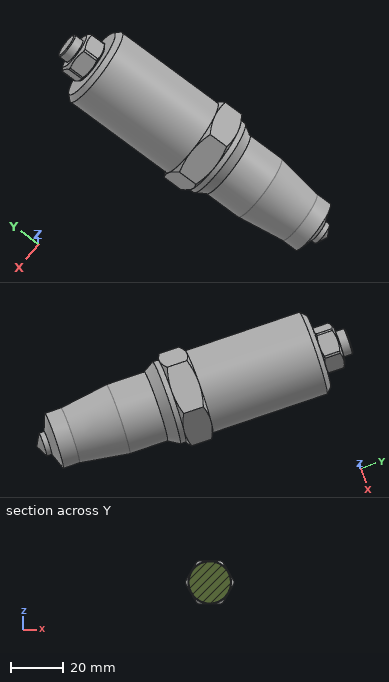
import cadquery as cq
import math

TIP_DIAMETER = 9.36
NOSE_DIAMETER = 22.36
SHANK_DIAMETER = 28.08
BODY_DIAMETER = 33.28
STUD_DIAMETER = 10.4
NECK_DIAMETER = 16.0

FLANGE_ACROSS_FLATS = BODY_DIAMETER
NUT_ACROSS_FLATS = 16.64
NUT_CORNER_DIAMETER = 18.7
NUT_INNER_FACE_DIAMETER = 16.64
NUT_OUTER_FACE_DIAMETER = 14.8
HEX_CHAMFER_ANGLE = 30.0

TIP_CONE_END = 2.55
TIP_CYLINDER_END = 4.6
NOSE_START = 7.05
NOSE_END = 13.6
TAPER_END = 33.0
SHANK_END = 48.3
SHOULDER_END = 52.6
FLANGE_START = 54.8
FLANGE_END = 65.8
BODY_END = 114.25
NUT_START = 114.6
NUT_END = 122.55
OVERALL_LENGTH = 126.6

BODY_CHAMFER_LENGTH = 2.15
BODY_CHAMFER_DEPTH = 2.0
STUD_CHAMFER = 0.45


def revolve_about_y(outline):
    """Turn an outline of (radius, y) points about the Y axis."""
    return cq.Workplane("XY").polyline(outline).close().revolve(360, (0, 0, 0), (0, 1, 0))


def across_corners(across_flats):
    """Corner-to-corner width of a regular hexagon."""
    return across_flats / math.cos(math.pi / 6)


def make_turned_body():
    tip_radius = TIP_DIAMETER / 2
    nose_radius = NOSE_DIAMETER / 2
    shank_radius = SHANK_DIAMETER / 2
    body_radius = BODY_DIAMETER / 2
    neck_radius = NECK_DIAMETER / 2
    stud_radius = STUD_DIAMETER / 2
    return revolve_about_y([
        (0, 0),
        (tip_radius, TIP_CONE_END),
        (tip_radius, TIP_CYLINDER_END),
        (nose_radius, NOSE_START),
        (nose_radius, NOSE_END),
        (shank_radius, TAPER_END),
        (shank_radius, SHANK_END),
        (body_radius, SHOULDER_END),
        (body_radius, BODY_END - BODY_CHAMFER_LENGTH),
        (body_radius - BODY_CHAMFER_DEPTH, BODY_END),
        (neck_radius, BODY_END),
        (neck_radius, NUT_START),
        (stud_radius, NUT_START),
        (stud_radius, OVERALL_LENGTH - STUD_CHAMFER),
        (stud_radius - STUD_CHAMFER, OVERALL_LENGTH),
        (0, OVERALL_LENGTH),
    ])


def make_hexagon(across_flats, corner_diameter, start_face_diameter, end_face_diameter, start, end):
    """Hexagon with flats facing +Z and -Z, its corners cut by a cylinder and by a cone at each end."""
    hexagon = (
        cq.Workplane("XZ", origin=(0, start, 0))
        .polygon(6, across_corners(across_flats))
        .extrude(start - end)
    )
    corner_radius = corner_diameter / 2
    start_face_radius = start_face_diameter / 2
    end_face_radius = end_face_diameter / 2
    chamfer_slope = math.tan(math.radians(HEX_CHAMFER_ANGLE))
    envelope = revolve_about_y([
        (0, start),
        (start_face_radius, start),
        (corner_radius, start + (corner_radius - start_face_radius) * chamfer_slope),
        (corner_radius, end - (corner_radius - end_face_radius) * chamfer_slope),
        (end_face_radius, end),
        (0, end),
    ])
    return hexagon.intersect(envelope)


def make_flange():
    return make_hexagon(
        FLANGE_ACROSS_FLATS,
        across_corners(FLANGE_ACROSS_FLATS),
        BODY_DIAMETER,
        BODY_DIAMETER,
        FLANGE_START,
        FLANGE_END,
    )


def make_nut():
    return make_hexagon(
        NUT_ACROSS_FLATS,
        NUT_CORNER_DIAMETER,
        NUT_INNER_FACE_DIAMETER,
        NUT_OUTER_FACE_DIAMETER,
        NUT_START,
        NUT_END,
    )


result = make_turned_body().union(make_flange()).union(make_nut())